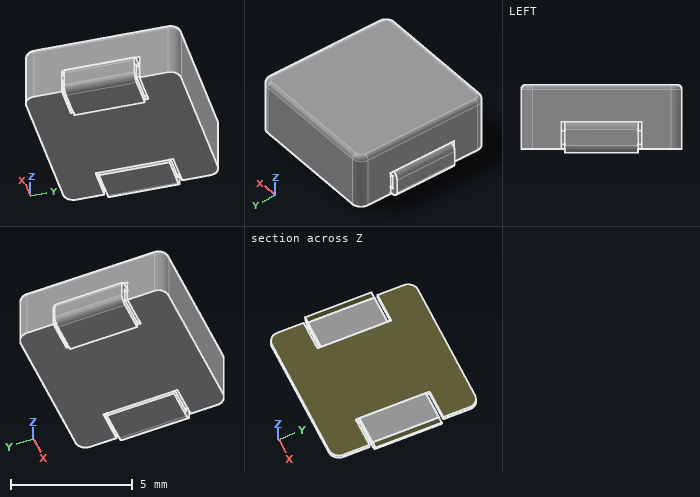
import cadquery as cq

BODY_SIDE = 6.6
BODY_HEIGHT = 2.65
CORNER_RADIUS = 0.45
TOP_FILLET = 0.2

OVERALL_LENGTH = 7.05
OVERALL_HEIGHT = 2.8
LEAD_WIDTH = 3.0
LEAD_THICKNESS = 0.3
LEAD_HEIGHT = 1.28
LEAD_LENGTH = 1.6
BEND_RADIUS = 0.31

POCKET_WIDTH = 3.31
TONGUE_GAP_X = 0.08
TONGUE_GAP_ABOVE = 0.07
TONGUE_GAP_BELOW = 0.05

SIDE_ANGLES = (0, 180)

body_bottom = OVERALL_HEIGHT - BODY_HEIGHT
tongue_bottom = LEAD_THICKNESS + TONGUE_GAP_BELOW
tongue_top = LEAD_HEIGHT - LEAD_THICKNESS - TONGUE_GAP_ABOVE

lead_outer = OVERALL_LENGTH / 2
lead_inner = lead_outer - LEAD_LENGTH
tongue_tip = lead_outer - LEAD_THICKNESS - TONGUE_GAP_X


def box_between(x_min, x_max, width, z_min, z_max):
    """Box centred on Y between the given X and Z limits."""
    return (
        cq.Workplane("XY", origin=((x_min + x_max) / 2, 0, z_min))
        .rect(x_max - x_min, width)
        .extrude(z_max - z_min)
    )


def make_pocket():
    """Volume removed from the +X side of the body: a recess less its tongue."""
    recess = box_between(lead_inner, lead_outer, POCKET_WIDTH, 0, LEAD_HEIGHT)
    tongue = box_between(lead_inner, tongue_tip, POCKET_WIDTH, tongue_bottom, tongue_top)
    return recess.cut(tongue)


def make_lead():
    """Lead on the +X side: upright plate with two arms reaching into the body."""
    outside = box_between(lead_inner, lead_outer, LEAD_WIDTH, 0, LEAD_HEIGHT)
    outside = outside.edges("|Y and >X").fillet(BEND_RADIUS)
    opening = box_between(
        lead_inner,
        lead_outer - LEAD_THICKNESS,
        LEAD_WIDTH,
        LEAD_THICKNESS,
        LEAD_HEIGHT - LEAD_THICKNESS,
    )
    return outside.cut(opening)


def place_on_side(shape, angle):
    """Turn a +X side shape about the vertical centre line."""
    return shape.rotate((0, 0, 0), (0, 0, 1), angle)


def make_body():
    """Square block with rounded corners, a rounded top rim and two lead pockets."""
    block = (
        cq.Workplane("XY", origin=(0, 0, body_bottom))
        .rect(BODY_SIDE, BODY_SIDE)
        .extrude(BODY_HEIGHT)
        .edges("|Z")
        .fillet(CORNER_RADIUS)
        .faces(">Z")
        .edges()
        .fillet(TOP_FILLET)
    )
    for angle in SIDE_ANGLES:
        block = block.cut(place_on_side(make_pocket(), angle))
    return block


body = make_body()
leads = [place_on_side(make_lead(), angle) for angle in SIDE_ANGLES]

result = cq.Compound.makeCompound([body.val(), *[lead.val() for lead in leads]])